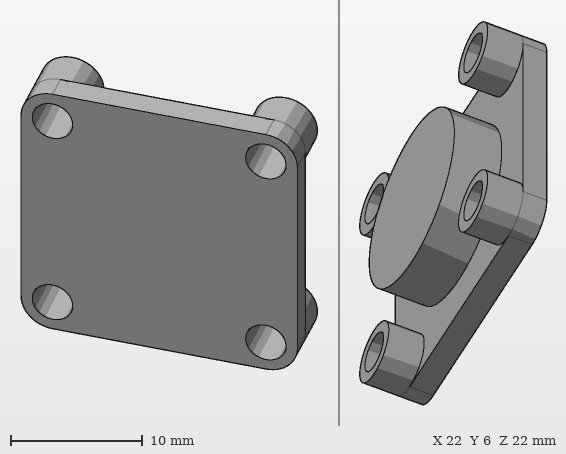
import cadquery as cq

plate_side = 22.0
plate_thickness = 2.0
corner_radius = 2.5
boss_top = 5.0
hub_top = 6.0
hub_diameter = 14.65
hole_diameter = 3.21

hole_spacing = plate_side - 2 * corner_radius


def face_plane():
    """Workplane on the flat outer face, with its normal along +Y."""
    return cq.Workplane("XZ").transformed(rotate=(180, 0, 0))


def corner_cylinders(diameter, height):
    """Four cylinders standing on the outer face, one at each corner centre."""
    corners = face_plane().rect(hole_spacing, hole_spacing, forConstruction=True).vertices()
    return corners.circle(diameter / 2).extrude(height)


plate = face_plane().rect(plate_side, plate_side).extrude(plate_thickness)
plate = plate.edges("|Y").fillet(corner_radius)

hub = face_plane().circle(hub_diameter / 2).extrude(hub_top)
bosses = corner_cylinders(2 * corner_radius, boss_top)

holes = corner_cylinders(hole_diameter, boss_top)

result = plate.union(hub).union(bosses).cut(holes)